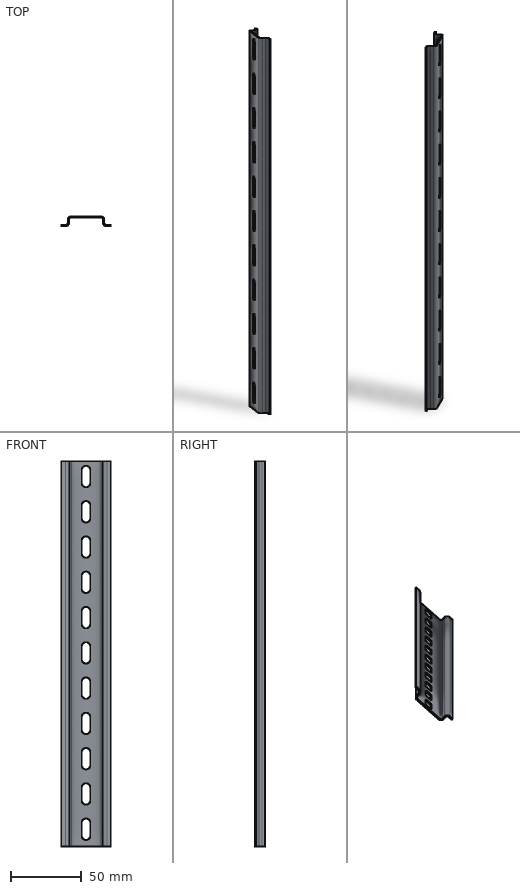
import cadquery as cq
import math

length = 273.0
overall_width = 35.2
depth = 7.0
thickness = 1.0
channel_width = 26.0
flange_inner_radius = 1.6
flange_outer_radius = flange_inner_radius + thickness
web_inner_radius = 1.5
web_outer_radius = web_inner_radius + thickness

slot_count = 11
slot_length = 15.0
slot_width = 6.0
bottom_slot_center = 12.3
top_slot_center = length - 11.0
slot_pitch = (top_slot_center - bottom_slot_center) / (slot_count - 1)

half_width = overall_width / 2
wall_outside = channel_width / 2
wall_inside = wall_outside - thickness
web_front = depth - thickness
flange_bend_x = wall_inside + flange_outer_radius
web_bend_x = wall_outside - web_outer_radius
web_bend_y = depth - web_outer_radius


def bend_middle(center_x, center_y, radius, direction):
    """Midpoint of a 90 degree bend, on the diagonal given by an x and a y sign."""
    offset = radius * math.sqrt(0.5)
    return (center_x + direction[0] * offset, center_y + direction[1] * offset)


def make_half_rail():
    """The +X half of the bent section, extruded to full length."""
    flange_inner_bend = bend_middle(flange_bend_x, flange_outer_radius, flange_inner_radius, (-1, -1))
    flange_outer_bend = bend_middle(flange_bend_x, flange_outer_radius, flange_outer_radius, (-1, -1))
    web_inner_bend = bend_middle(web_bend_x, web_bend_y, web_inner_radius, (1, 1))
    web_outer_bend = bend_middle(web_bend_x, web_bend_y, web_outer_radius, (1, 1))
    return (
        cq.Workplane("XY")
        .moveTo(0, depth)
        .lineTo(web_bend_x, depth)
        .threePointArc(web_outer_bend, (wall_outside, web_bend_y))
        .lineTo(wall_outside, flange_outer_radius)
        .threePointArc(flange_inner_bend, (flange_bend_x, thickness))
        .lineTo(half_width, thickness)
        .lineTo(half_width, 0)
        .lineTo(flange_bend_x, 0)
        .threePointArc(flange_outer_bend, (wall_inside, flange_outer_radius))
        .lineTo(wall_inside, web_bend_y)
        .threePointArc(web_inner_bend, (web_bend_x, web_front))
        .lineTo(0, web_front)
        .close()
        .extrude(length)
    )


def make_slots():
    """Round-ended cutters along Z that pass through the web."""
    centers = [(0, bottom_slot_center + i * slot_pitch) for i in range(slot_count)]
    return (
        cq.Workplane("XZ")
        .pushPoints(centers)
        .slot2D(slot_length, slot_width, 90)
        .extrude(-depth)
    )


half_rail = make_half_rail()
rail = half_rail.union(half_rail.mirror("YZ")).clean()
result = rail.cut(make_slots())